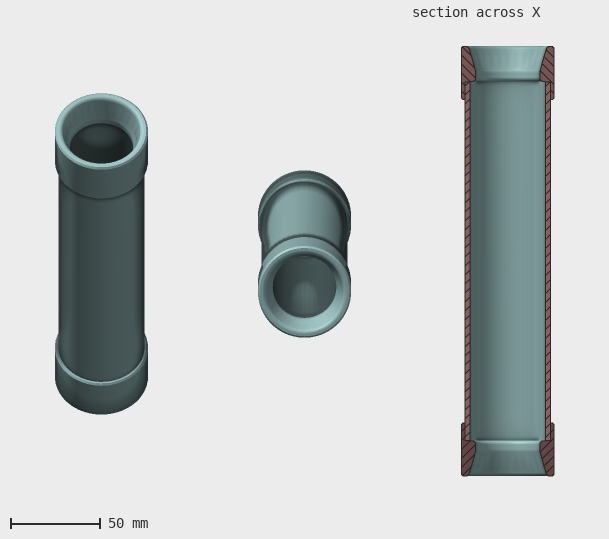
import cadquery as cq

total_length = 240.0
cap_length = 30.0
cap_radius = 26.0
cap_chamfer = 1.0

tube_radius = 24.0
tube_wall = 3.0
bore_radius = tube_radius - tube_wall

mouth_radius = 21.9
taper_depth = 14.5
land_radius = 17.75
socket_length = 10.0
stop_depth = cap_length - socket_length
inner_rounding = 2.4

tube_length = total_length - 2 * stop_depth


def make_tube():
    """Plain tube centred on the origin, ending at the stop inside each cap."""
    return (
        cq.Workplane("XY")
        .workplane(offset=-tube_length / 2)
        .circle(tube_radius)
        .circle(bore_radius)
        .extrude(tube_length)
    )


def make_top_cap():
    """Turned cap for the +Z end; each profile point is (radius, depth below the mouth)."""
    profile = [
        (mouth_radius, 0),
        (cap_radius - cap_chamfer, 0),
        (cap_radius, cap_chamfer),
        (cap_radius, cap_length - cap_chamfer),
        (cap_radius - cap_chamfer, cap_length),
        (tube_radius, cap_length),
        (tube_radius, stop_depth),
        (land_radius, stop_depth),
        (land_radius, taper_depth),
    ]
    points = [(radius, total_length / 2 - depth) for radius, depth in profile]
    cap = cq.Workplane("XZ").polyline(points).close().revolve(360, (0, 0), (0, 1))

    land_edges = cq.selectors.RadiusNthSelector(0)
    mouth_edge = cq.selectors.RadiusNthSelector(1)
    return cap.edges(land_edges + mouth_edge).fillet(inner_rounding)


tube = make_tube()
top_cap = make_top_cap()
bottom_cap = top_cap.mirror("XY")

result = cq.Compound.makeCompound([tube.val(), top_cap.val(), bottom_cap.val()])